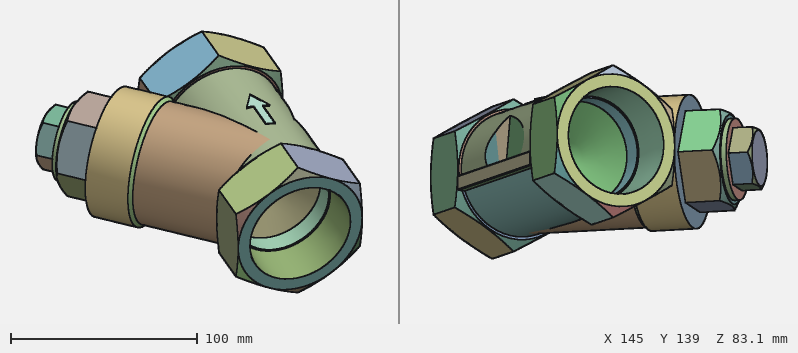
import cadquery as cq
import math

LENGTH = 140.0
END_HEX_FLATS = 72.0
END_HEX_LENGTH = 30.3
INNER_CHAMFER_DIA = 71.0
TUBE_DIA = 68.0
CHAMFER_ANGLE = 30.0

PORT_MOUTH_DIA = 58.4
PORT_INNER_DIA = 56.6
PORT_DEPTH = 26.0
BORE_DIA = 54.8
BORE_DEPTH = 37.5
DRILL_POINT_ANGLE = 120.0

BRANCH_START_X = 28.0
BRANCH_ANGLE = 45.0
BRANCH_COLLAR_DIA = 72.0
BRANCH_COLLAR_START = 65.5
BRANCH_END = 92.2

CAP_HEX_FLATS = 50.0
CAP_HEX_LENGTH = 21.9
CAP_HEX_CHAMFER_DIA = 48.0
CAP_COLLAR_DIA = 44.0
CAP_COLLAR_LENGTH = 3.0
PLUG_HEX_FLATS = 31.0
PLUG_HEX_CHAMFER_DIA = 30.0
CAP_LENGTH = 37.25

ARROW_TILT = 10.0
ARROW_TIP_X = -14.0
ARROW_HEAD_LENGTH = 11.4
ARROW_HEAD_WIDTH = 13.4
ARROW_SHAFT_WIDTH = 5.4
ARROW_LENGTH = 28.5
ARROW_HEIGHT = 0.4

RIB_TOP_Z = -4.0
RIB_THICKNESS = 8.0
RIB_CHAMFER = 0.5

NOTCH_FLOOR = [(-40.0, 37.1), (0.0, 28.5), (3.2, 30.9), (20.0, 37.1)]
NOTCH_ROOF = [(-37.7, 33.3), (2.3, 24.7), (9.9, 30.3), (26.7, 36.5)]
NOTCH_ROOF_Z = 23.4

LEFT_END = cq.Plane(origin=(-LENGTH / 2, 0, 0), xDir=(0, 0, 1), normal=(1, 0, 0))
RIGHT_END = cq.Plane(origin=(LENGTH / 2, 0, 0), xDir=(0, 0, 1), normal=(-1, 0, 0))
BRANCH_COS = math.cos(math.radians(BRANCH_ANGLE))
BRANCH_SIN = math.sin(math.radians(BRANCH_ANGLE))
BRANCH_START = cq.Plane(
    origin=(BRANCH_START_X, 0, 0),
    xDir=(BRANCH_SIN, -BRANCH_COS, 0),
    normal=(-BRANCH_COS, -BRANCH_SIN, 0),
)


def revolved(plane, profile):
    """Solid turned about the plane's normal from (radius, height) points."""
    outline = cq.Workplane(cq.Plane(plane.origin, plane.xDir, plane.yDir * -1)).polyline(profile).close()
    return outline.revolve(360, (0, 0, 0), (0, 1, 0))


def chamfered_hexagon(plane, flats, length, chamfer_dias):
    """Hexagonal prism with its corners turned down by cones.

    chamfer_dias maps a height, 0 or length, to the diameter of the chamfer circle on that face.
    """
    corner = flats / math.sqrt(3)
    prism = cq.Workplane(plane).polygon(6, 2 * corner).extrude(length)
    for height, dia in chamfer_dias.items():
        drop = (corner - dia / 2) * math.tan(math.radians(CHAMFER_ANGLE))
        inner_height = drop if height == 0 else height - drop
        trim = [(dia / 2, height), (2 * corner - dia / 2, height), (corner, inner_height)]
        prism = prism.cut(revolved(plane, trim))
    return prism


def end_hexagon(plane):
    dias = {0: END_HEX_FLATS, END_HEX_LENGTH: INNER_CHAMFER_DIA}
    return chamfered_hexagon(plane, END_HEX_FLATS, END_HEX_LENGTH, dias)


def port(plane):
    """Tapered socket, then a smaller bore that ends in a drill point."""
    point_depth = BORE_DIA / 2 / math.tan(math.radians(DRILL_POINT_ANGLE / 2))
    profile = [
        (0, 0),
        (PORT_MOUTH_DIA / 2, 0),
        (PORT_INNER_DIA / 2, PORT_DEPTH),
        (BORE_DIA / 2, PORT_DEPTH),
        (BORE_DIA / 2, BORE_DEPTH),
        (0, BORE_DEPTH + point_depth),
    ]
    return revolved(plane, profile)


def branch():
    """Side branch of the tube's diameter, with a thicker collar at its open end."""
    collar_step = (BRANCH_COLLAR_DIA - TUBE_DIA) / 2
    profile = [
        (0, 0),
        (TUBE_DIA / 2, 0),
        (TUBE_DIA / 2, BRANCH_COLLAR_START),
        (BRANCH_COLLAR_DIA / 2, BRANCH_COLLAR_START + collar_step),
        (BRANCH_COLLAR_DIA / 2, BRANCH_END),
        (0, BRANCH_END),
    ]
    return revolved(BRANCH_START, profile)


def flow_arrow():
    head_x = ARROW_TIP_X + ARROW_HEAD_LENGTH
    tail_x = ARROW_TIP_X + ARROW_LENGTH
    half_outline = [
        (head_x, ARROW_HEAD_WIDTH / 2),
        (head_x, ARROW_SHAFT_WIDTH / 2),
        (tail_x, ARROW_SHAFT_WIDTH / 2),
    ]
    mirrored = [(x, -y) for x, y in reversed(half_outline)]
    outline = [(ARROW_TIP_X, 0)] + half_outline + mirrored
    arrow = cq.Workplane("XY").polyline(outline).close().extrude(TUBE_DIA / 2 + ARROW_HEIGHT)
    return arrow.rotate((0, 0, 0), (1, 0, 0), -ARROW_TILT)


def back_rib():
    depth = END_HEX_FLATS / 2
    length = LENGTH - 2 * END_HEX_LENGTH
    base = cq.Workplane("XY").workplane(offset=RIB_TOP_Z - RIB_THICKNESS)
    rib = base.box(length, depth, RIB_THICKNESS, centered=(True, False, False))
    return rib.faces(">Y").edges("|X").chamfer(RIB_CHAMFER)


def wall_notch():
    floor = cq.Workplane("XY").workplane(offset=RIB_TOP_Z).polyline(NOTCH_FLOOR).close()
    roof = floor.workplane(offset=NOTCH_ROOF_Z - RIB_TOP_Z).polyline(NOTCH_ROOF).close()
    return roof.loft(ruled=True)


def valve_housing():
    tube = cq.Workplane(LEFT_END).circle(TUBE_DIA / 2).extrude(LENGTH)
    housing = tube.union(branch()).union(flow_arrow()).union(back_rib()).cut(wall_notch())
    for end in (LEFT_END, RIGHT_END):
        housing = housing.union(end_hexagon(end))
    for end in (LEFT_END, RIGHT_END):
        housing = housing.cut(port(end))
    return housing


def valve_cap():
    """Hexagon, round collar and smaller hexagon stacked on the end face of the branch."""
    base = cq.Plane(BRANCH_START.toWorldCoords((0, 0, BRANCH_END)), BRANCH_START.xDir, BRANCH_START.zDir)
    collar_end = CAP_HEX_LENGTH + CAP_COLLAR_LENGTH
    large_hex = chamfered_hexagon(base, CAP_HEX_FLATS, CAP_HEX_LENGTH, {CAP_HEX_LENGTH: CAP_HEX_CHAMFER_DIA})
    collar = cq.Workplane(base).circle(CAP_COLLAR_DIA / 2).extrude(collar_end)
    small_hex = chamfered_hexagon(base, PLUG_HEX_FLATS, CAP_LENGTH, {CAP_LENGTH: PLUG_HEX_CHAMFER_DIA})
    return large_hex.union(collar).union(small_hex)


housing = valve_housing()
cap = valve_cap()

result = cq.Compound.makeCompound([housing.val(), cap.val()])